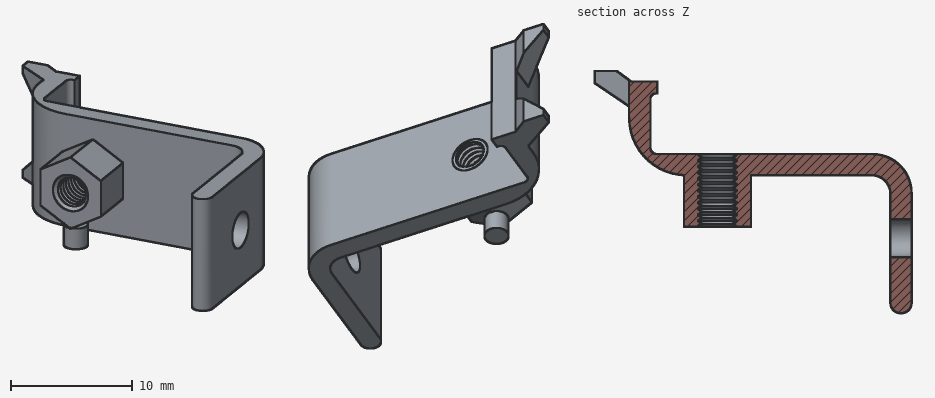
import cadquery as cq
import math

length = 26.1
depth = 19.97
height = 10.0
mid_z = height / 2

thickness = 1.78
plate_front = -8.62
plate_back = plate_front + thickness
wall_left = 2.82
wall_right = wall_left + thickness
wall_bend_radius = 4.78
wall_inner_radius = 0.5
leg_inner_radius = 1.5
leg_outer_radius = leg_inner_radius + thickness
leg_left = length - thickness
tip_radius = thickness / 2
leg_hole_diameter = 3.1
leg_hole_y = -13.79

claw_back_width = 1.8
claw_tip_depth = 1.02
claw_root_y = -2.92
head_back_x = 2.98
head_back_y = -0.85
hook_right = 5.17
hook_front_y = -1.88
hook_fillet_radius = 0.42
claw_tip_height = 0.68

nut_x = 10.1
nut_across_flats = 5.54
nut_front = -12.85
bore_diameter = 2.53
thread_diameter = 3.2
thread_pitch = 0.5

pin_diameter = 2.0
pin_height = 1.85


def arc_point(x, y, radius, degrees):
    """Point on a circle around (x, y)."""
    angle = math.radians(degrees)
    return (x + radius * math.cos(angle), y + radius * math.sin(angle))


def make_strip():
    """Extrude the bent strip, including the head, over the full height."""
    wall_bend_x = wall_left + wall_bend_radius
    wall_bend_y = plate_front + wall_bend_radius
    inner_x = wall_right + wall_inner_radius
    inner_y = plate_back + wall_inner_radius
    leg_bend_x = leg_left - leg_inner_radius
    leg_bend_y = plate_front - leg_inner_radius
    tip_y = -depth + tip_radius
    hook_x = wall_right + hook_fillet_radius
    hook_y = hook_front_y - hook_fillet_radius
    return (
        cq.Workplane("XY")
        .moveTo(0, 0)
        .lineTo(claw_back_width, 0)
        .lineTo(head_back_x, head_back_y)
        .lineTo(hook_right, head_back_y)
        .lineTo(hook_right, hook_front_y)
        .lineTo(hook_x, hook_front_y)
        .threePointArc(arc_point(hook_x, hook_y, hook_fillet_radius, 135), (wall_right, hook_y))
        .lineTo(wall_right, inner_y)
        .threePointArc(arc_point(inner_x, inner_y, wall_inner_radius, 225), (inner_x, plate_back))
        .lineTo(leg_bend_x, plate_back)
        .threePointArc(arc_point(leg_bend_x, leg_bend_y, leg_outer_radius, 45), (length, leg_bend_y))
        .lineTo(length, tip_y)
        .threePointArc((length - tip_radius, -depth), (leg_left, tip_y))
        .lineTo(leg_left, leg_bend_y)
        .threePointArc(arc_point(leg_bend_x, leg_bend_y, leg_inner_radius, 45), (leg_bend_x, plate_front))
        .lineTo(wall_bend_x, plate_front)
        .threePointArc(arc_point(wall_bend_x, wall_bend_y, wall_bend_radius, 225), (wall_left, wall_bend_y))
        .lineTo(wall_left, claw_root_y)
        .lineTo(0, -claw_tip_depth)
        .close()
        .extrude(height)
    )


def make_claw_notch():
    """Notch with 45 degree sides that splits the head into two claws."""
    root_height = claw_tip_height + wall_left
    return (
        cq.Workplane("XZ")
        .polyline([
            (0, claw_tip_height),
            (wall_left, root_height),
            (wall_left, height - root_height),
            (0, height - claw_tip_height),
        ])
        .close()
        .extrude(-claw_root_y)
    )


def make_leg_hole():
    """Round hole through the leg along X."""
    return (
        cq.Workplane("YZ", origin=(leg_left, leg_hole_y, mid_z))
        .circle(leg_hole_diameter / 2)
        .extrude(thickness)
    )


def make_nut():
    """Hexagonal block on the plate, with two corners pointing along Z."""
    across_corners = nut_across_flats / math.cos(math.pi / 6)
    return (
        cq.Workplane("XZ", origin=(nut_x, plate_back, mid_z))
        .transformed(rotate=(0, 0, 90))
        .polygon(6, across_corners)
        .extrude(plate_back - nut_front)
    )


def make_threaded_bore():
    """Bore through nut and plate, with V grooves in rings standing for the thread."""
    bore_radius = bore_diameter / 2
    thread_radius = thread_diameter / 2
    bore_length = plate_back - nut_front
    groove_count = math.floor(bore_length / thread_pitch)
    profile = cq.Workplane("XY").moveTo(0, 0).lineTo(thread_radius, 0)
    for groove in range(groove_count):
        start = groove * thread_pitch
        profile = profile.lineTo(bore_radius, start + thread_pitch / 2)
        profile = profile.lineTo(thread_radius, start + thread_pitch)
    profile = profile.lineTo(bore_radius, bore_length).lineTo(0, bore_length).close()
    return profile.revolve(360, (0, 0), (0, 1)).translate((nut_x, nut_front, mid_z))


def make_pin():
    """Upright pin from the bottom level into the lowest corner of the nut."""
    pin_y = nut_front + pin_diameter / 2
    return cq.Workplane("XY").center(nut_x, pin_y).circle(pin_diameter / 2).extrude(pin_height)


result = (
    make_strip()
    .cut(make_claw_notch())
    .cut(make_leg_hole())
    .union(make_nut())
    .union(make_pin())
    .cut(make_threaded_bore())
)